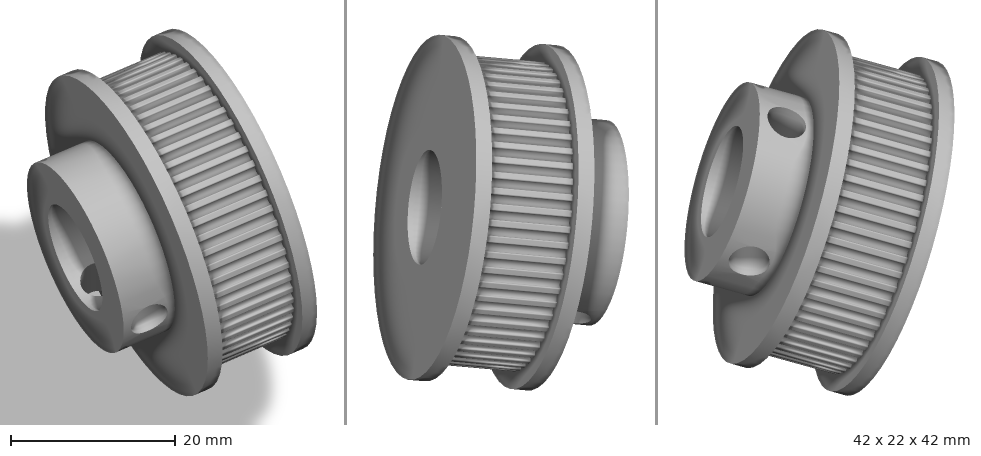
import cadquery as cq
import math


flange_diameter = 42.0
flange_thickness = 2.0
hub_diameter = 25.0
hub_length = 7.0
bore_diameter = 14.0

tooth_count = 60
rim_diameter = 37.67
rim_width = 10.95
groove_radius = 0.55
groove_depth = 0.75
tip_radius = 0.15

screw_diameter = 5.0
screw_from_hub_face = hub_length / 2

hub_face = 0.0
front_flange_face = hub_face + hub_length
rim_start = front_flange_face + flange_thickness
rim_end = rim_start + rim_width
back_face = rim_end + flange_thickness


def disc(diameter, start, end):
    """Solid cylinder on the Y axis between two stations."""
    plane = cq.Workplane("XZ", origin=(0, start, 0))
    return plane.circle(diameter / 2).extrude(start - end)


def around_axis(angle, across, height):
    """Point at a radial height and sideways offset, turned by an angle about the axis."""
    x = height * math.sin(angle) + across * math.cos(angle)
    z = height * math.cos(angle) - across * math.sin(angle)
    return (x, z)


def toothed_rim():
    """Rim with round-bottomed belt grooves, rounded tooth tips and one groove at +Z."""
    rim_radius = rim_diameter / 2
    pitch_angle = 2 * math.pi / tooth_count
    mouth = groove_radius + tip_radius
    mouth_height = math.sqrt(rim_radius**2 - mouth**2)
    wall_height = mouth_height - tip_radius
    bottom_height = rim_radius - groove_depth
    centre_height = bottom_height + groove_radius
    tip_bulge = tip_radius * math.sqrt(0.5)
    tip_across = mouth - tip_bulge
    tip_height = wall_height + tip_bulge

    outline = cq.Workplane("XZ", origin=(0, rim_start, 0))
    outline = outline.moveTo(*around_axis(0, -mouth, mouth_height))
    for tooth in range(tooth_count):
        angle = tooth * pitch_angle

        def at(across, height):
            return around_axis(angle, across, height)

        outline = outline.threePointArc(at(-tip_across, tip_height), at(-groove_radius, wall_height))
        outline = outline.lineTo(*at(-groove_radius, centre_height))
        outline = outline.threePointArc(at(0, bottom_height), at(groove_radius, centre_height))
        outline = outline.lineTo(*at(groove_radius, wall_height))
        outline = outline.threePointArc(at(tip_across, tip_height), at(mouth, mouth_height))
        land_middle = around_axis(angle + pitch_angle / 2, 0, rim_radius)
        next_groove = around_axis(angle + pitch_angle, -mouth, mouth_height)
        outline = outline.threePointArc(land_middle, next_groove)
    return outline.close().extrude(-rim_width)


def screw_hole(direction):
    """Cutter from the axis outward through one side of the hub."""
    centre = cq.Vector(0, hub_face + screw_from_hub_face, 0)
    return cq.Workplane(cq.Solid.makeCylinder(screw_diameter / 2, hub_diameter, centre, direction))


hub = disc(hub_diameter, hub_face, front_flange_face)
front_flange = disc(flange_diameter, front_flange_face, rim_start)
back_flange = disc(flange_diameter, rim_end, back_face)
bore = disc(bore_diameter, hub_face, back_face)

result = hub.union(front_flange).union(toothed_rim()).union(back_flange).cut(bore)
for screw_direction in (cq.Vector(1, 0, 0), cq.Vector(0, 0, -1)):
    result = result.cut(screw_hole(screw_direction))